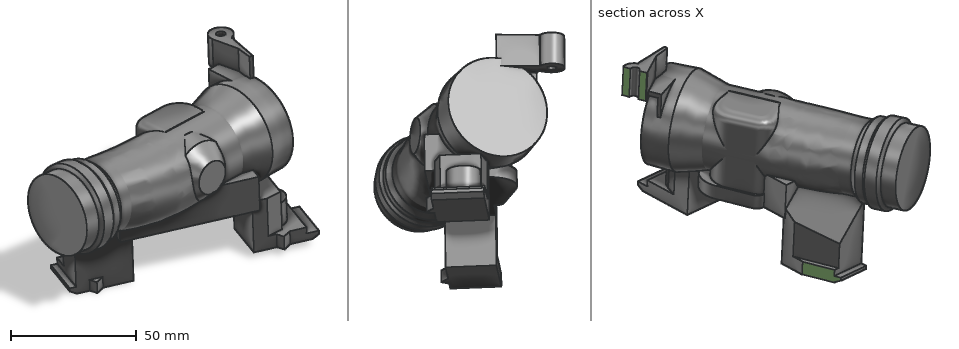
import cadquery as cq
import math

BEND_Y = 80.0
TILT = 2.5
BARREL_YAW = 2.0
BARREL_DROP = 0.3
BASE_YAW = -21.4

SOCKET_R = 17.2
SOCKET_LEN = 6.5
COLLAR_R = 19.0
COLLAR_END = 14.1
COLLAR_FRONT_SLOPE = 1.2
COLLAR_REAR_SLOPE = 1.3
SHOULDER_R = 17.75
SHOULDER_END = 17.6
THROAT_R = 15.8
THROAT_START = 20.1
THROAT_END = 25.6

BARREL_R = 17.5
BARREL_START = -26.0
BLEND_OVERLAP = 6.0
NECK_Y = 4.4
BELL_R = 21.2
BELL_Y = 17.3
BELL_END_R = 20.8
BELL_END = 29.3

PAD_LEFT = -17.45
PAD_RIGHT = 0.2
PAD_FRONT = -24.3
PAD_REAR = 3.7
PAD_TOP = 17.45
PAD_FRONT_CORNER = 6.8
PAD_REAR_CORNER = 10.4
PAD_EDGE_R = 4.4
FLANGE_LEFT = -18.0
FLANGE_RIGHT = 5.0
FLANGE_FRONT = -23.0
FLANGE_REAR = 8.2
FLANGE_TOP = -16.0
FLANGE_FRONT_CORNER = 4.0
FLANGE_REAR_CORNER = 11.0

BULGE_Y = -14.4
BULGE_Z = 1.2
BULGE_WIDTH = 19.2
BULGE_TIP = (20.1, 7.2)
BULGE_RIDGE = (13.4, 13.3)
BULGE_ROOT = (6.7, 15.0)

LUG_X = -22.9
LUG_Y = 31.9
LUG_R = 5.2
LUG_HOLE_R = 1.9
LUG_BOTTOM = 17.4
LUG_TOP = 30.6
ARM_OUTLINE = [(-22.0, 37.0), (-17.6, 32.9), (-0.8, 28.8), (-1.4, 27.3), (-9.3, 28.7), (-22.3, 26.7)]
SHELF_LEFT = -19.4
SHELF_RIGHT = -4.2
SHELF_FRONT = 21.5
SHELF_REAR = 29.5
SHELF_TOP = 20.1
SHELF_THICKNESS = 2.0
SHELF_LEG_THICKNESS = 1.5
SHELF_LEG_BOTTOM = 8.0

BEAM_LEFT = -5.7
BEAM_RIGHT = 18.65
BEAM_FRONT = -38.6
BEAM_REAR = 15.7
BEAM_TOP = -6.6
BEAM_BOTTOM = -22.0
RAIL_FRONT = -44.2
FOOT_BOTTOM = -43.3
FOOT_TOP = -37.3
LIP_TOP = -40.1
LIP_TIP_HEIGHT = 1.5
LIP_CHAMFER = 2.9

FRONT_FOOT_LEFT = -5.4
FRONT_FOOT_RIGHT = 14.9
FRONT_FOOT_FRONT = -62.2
FRONT_FOOT_REAR = -37.6
FRONT_LIP = 2.7
FRONT_TOOTH_Y = -56.4
FRONT_TOOTH_TOP = -38.3

REAR_FOOT_LEFT = -6.7
REAR_FOOT_RIGHT = 14.35
REAR_FOOT_FRONT = 14.1
REAR_FOOT_REAR = 36.85
REAR_LIP = 5.25
REAR_TOOTH_Y = 24.0
COLUMN_LEFT_END = 22.0
COLUMN_RIGHT_END = 20.5
COLUMN_REAR = 27.4
COLUMN_REAR_LEFT = -4.7
COLUMN_REAR_RIGHT = 11.7
COLUMN_TOP = -20.0
POST_X = 2.4
POST_Y = 25.8
POST_R = 7.0
POST_TOP = -26.8

TOOTH_DEPTH = 3.0
TOOTH_TIP = 2.0
TOOTH_LENGTH = 5.7

COLUMN_FLANK_X = -21.0
SLOPE_POINT = (-21.2, 43.2, -23.1)
SLOPE_X = 1.36
SLOPE_Y = 0.286
CUTTER_SIZE = 120.0


def place(shape, yaw=0.0):
    """Turn a shape from bend-point coordinates into part coordinates."""
    turned = shape.rotate((0, 0, 0), (0, 0, 1), yaw)
    tilted = turned.rotate((0, 0, 0), (1, 0, 0), TILT)
    return tilted.translate((0, BEND_Y, 0))


def place_barrel(shape):
    return place(shape.translate((0, 0, -BARREL_DROP)), BARREL_YAW)


def block(x_min, x_max, y_min, y_max, z_min, z_max):
    size = (x_max - x_min, y_max - y_min, z_max - z_min)
    return cq.Workplane("XY").box(*size, centered=False).translate((x_min, y_min, z_min))


def prism(outline, z_min, z_max):
    return cq.Workplane("XY").workplane(offset=z_min).polyline(outline).close().extrude(z_max - z_min)


def turned_about_y(outline):
    return cq.Workplane("XY").polyline(outline).close().revolve(360, (0, 0, 0), (0, 1, 0))


def make_socket():
    return turned_about_y([
        (0, 0),
        (SOCKET_R, 0),
        (SOCKET_R, SOCKET_LEN),
        (COLLAR_R, SOCKET_LEN + COLLAR_FRONT_SLOPE),
        (COLLAR_R, COLLAR_END - COLLAR_REAR_SLOPE),
        (SHOULDER_R, COLLAR_END),
        (SHOULDER_R, SHOULDER_END),
        (THROAT_R, THROAT_START),
        (THROAT_R, THROAT_END),
        (0, THROAT_END),
    ])


def make_barrel():
    barrel = turned_about_y([
        (0, BARREL_START),
        (BARREL_R, BARREL_START),
        (BARREL_R, NECK_Y),
        (BELL_R, BELL_Y),
        (BELL_END_R, BELL_END),
        (0, BELL_END),
    ])
    return place_barrel(barrel)


def make_transition():
    """Smooth blend from the straight throat to the leaning barrel."""
    along_y = cq.Vector(0, 1, 0)

    def ring(radius, y):
        circle = cq.Wire.makeCircle(radius, cq.Vector(0, y, 0), along_y)
        return circle.rotate((0, 0, 0), (0, 1, 0), 180)

    barrel_rings = [ring(BARREL_R, BARREL_START), ring(BARREL_R, BARREL_START + BLEND_OVERLAP)]
    rings = [ring(THROAT_R, THROAT_END)] + [place_barrel(barrel_ring) for barrel_ring in barrel_rings]
    return cq.Workplane(cq.Solid.makeLoft(rings))


def make_pad():
    pad = block(PAD_LEFT, PAD_RIGHT, PAD_FRONT, PAD_REAR, BEAM_BOTTOM, PAD_TOP)
    pad = pad.faces("<X").edges("<Y").fillet(PAD_FRONT_CORNER)
    pad = pad.faces("<X").edges(">Y").fillet(PAD_REAR_CORNER)
    pad = pad.faces(">Z").edges("not >X").fillet(PAD_EDGE_R)
    flange = block(FLANGE_LEFT, FLANGE_RIGHT, FLANGE_FRONT, FLANGE_REAR, BEAM_BOTTOM, FLANGE_TOP)
    flange = flange.faces("<X").edges("<Y").fillet(FLANGE_FRONT_CORNER)
    flange = flange.faces("<X").edges(">Y").fillet(FLANGE_REAR_CORNER)
    return place(pad, BARREL_YAW).union(place(flange))


def make_bulge():
    outline = [(BULGE_ROOT[0], 0), (BULGE_TIP[0], 0), BULGE_TIP, BULGE_RIDGE, BULGE_ROOT]
    turned = cq.Workplane("XZ").polyline(outline).close().revolve(360, (0, 0, 0), (1, 0, 0))
    half = BULGE_WIDTH / 2
    slab = block(0, BULGE_TIP[0], -half, half, -BULGE_ROOT[1], BULGE_ROOT[1])
    return place(turned.intersect(slab).translate((0, BULGE_Y, BULGE_Z)))


def make_hinge():
    height = LUG_TOP - LUG_BOTTOM
    lug = cq.Workplane("XY", origin=(LUG_X, LUG_Y, LUG_BOTTOM)).circle(LUG_R).extrude(height)
    hole = cq.Workplane("XY", origin=(LUG_X, LUG_Y, LUG_BOTTOM)).circle(LUG_HOLE_R).extrude(height)
    arm = prism(ARM_OUTLINE, LUG_BOTTOM, LUG_TOP)
    shelf_bottom = SHELF_TOP - SHELF_THICKNESS
    shelf = block(SHELF_LEFT, SHELF_RIGHT, SHELF_FRONT, SHELF_REAR, shelf_bottom, SHELF_TOP)
    leg_rear = SHELF_FRONT + SHELF_LEG_THICKNESS
    leg = block(SHELF_LEFT, SHELF_RIGHT, SHELF_FRONT, leg_rear, SHELF_LEG_BOTTOM, SHELF_TOP)
    return place(lug.union(arm).cut(hole).union(shelf).union(leg))


def make_lip(left, right, root, tip):
    """Thin ledge on a foot, chamfered underneath at its tip."""
    inward = math.copysign(1, root - tip)
    outline = [
        (root, FOOT_BOTTOM),
        (tip + inward * LIP_CHAMFER, FOOT_BOTTOM),
        (tip, LIP_TOP - LIP_TIP_HEIGHT),
        (tip, LIP_TOP),
        (root, LIP_TOP),
    ]
    profile = cq.Workplane("YZ", origin=(left, 0, 0)).polyline(outline).close()
    return profile.extrude(right - left)


def make_tooth(x, y, top):
    outline = [(x, y), (x + TOOTH_DEPTH, y + TOOTH_TIP), (x, y + TOOTH_LENGTH)]
    return prism(outline, FOOT_BOTTOM, top)


def make_beam():
    beam = block(BEAM_LEFT, BEAM_RIGHT, BEAM_FRONT, BEAM_REAR, BEAM_BOTTOM, BEAM_TOP)
    rail = block(FRONT_FOOT_RIGHT, BEAM_RIGHT, RAIL_FRONT, BEAM_FRONT, BEAM_BOTTOM, BEAM_TOP)
    return place(beam.union(rail), BASE_YAW)


def make_front_foot():
    sides = (FRONT_FOOT_LEFT, FRONT_FOOT_RIGHT, FRONT_FOOT_FRONT, FRONT_FOOT_REAR)
    plate = block(*sides, FOOT_BOTTOM, FOOT_TOP)
    lip_tip = FRONT_FOOT_FRONT - FRONT_LIP
    lip = make_lip(FRONT_FOOT_LEFT, FRONT_FOOT_RIGHT, FRONT_FOOT_FRONT, lip_tip)
    tooth = make_tooth(FRONT_FOOT_RIGHT, FRONT_TOOTH_Y, FRONT_TOOTH_TOP)
    foot = place(plate.union(lip).union(tooth), BASE_YAW)

    column = place(block(*sides, FOOT_TOP, BEAM_TOP), BASE_YAW)
    flank = cq.Workplane("XY").box(CUTTER_SIZE, CUTTER_SIZE, CUTTER_SIZE)
    flank = flank.translate((COLUMN_FLANK_X - CUTTER_SIZE / 2, 0, 0))
    slope_plane = cq.Plane(SLOPE_POINT, xDir=(1, 0, SLOPE_X), normal=(-SLOPE_X, -SLOPE_Y, 1))
    slope = cq.Workplane(slope_plane).rect(CUTTER_SIZE, CUTTER_SIZE).extrude(CUTTER_SIZE)
    return foot.union(column.cut(flank).cut(slope))


def make_rear_foot():
    plate = block(REAR_FOOT_LEFT, REAR_FOOT_RIGHT, REAR_FOOT_FRONT, REAR_FOOT_REAR, FOOT_BOTTOM, FOOT_TOP)
    lip = make_lip(REAR_FOOT_LEFT, REAR_FOOT_RIGHT, REAR_FOOT_REAR, REAR_FOOT_REAR + REAR_LIP)
    tooth = make_tooth(REAR_FOOT_RIGHT, REAR_TOOTH_Y, FOOT_TOP)
    column_outline = [
        (REAR_FOOT_LEFT, REAR_FOOT_FRONT),
        (REAR_FOOT_RIGHT, REAR_FOOT_FRONT),
        (REAR_FOOT_RIGHT, COLUMN_RIGHT_END),
        (COLUMN_REAR_RIGHT, COLUMN_REAR),
        (COLUMN_REAR_LEFT, COLUMN_REAR),
        (REAR_FOOT_LEFT, COLUMN_LEFT_END),
    ]
    column = prism(column_outline, FOOT_TOP, COLUMN_TOP)
    post_height = POST_TOP - FOOT_TOP
    post = cq.Workplane("XY", origin=(POST_X, POST_Y, FOOT_TOP)).circle(POST_R).extrude(post_height)
    return place(plate.union(lip).union(tooth).union(column).union(post), BASE_YAW)


result = make_socket().union(make_transition()).union(make_barrel())
for feature in (make_beam(), make_front_foot(), make_rear_foot(), make_pad(), make_bulge(), make_hinge()):
    result = result.union(feature)